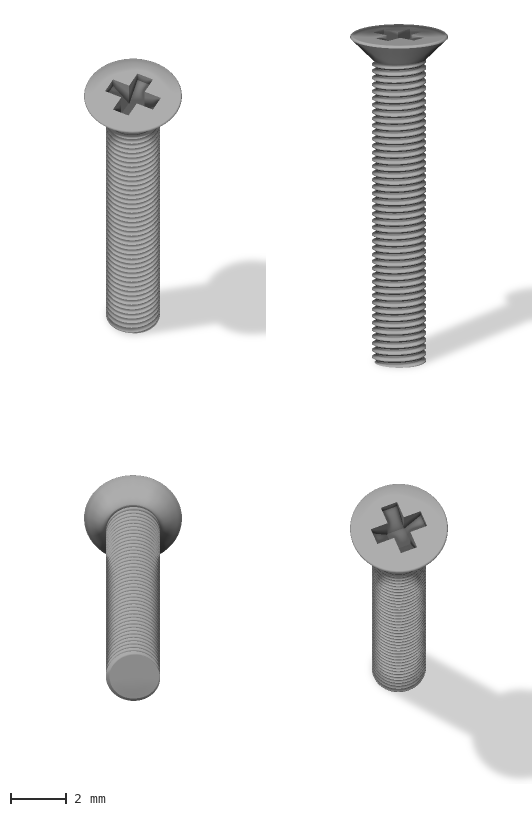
import cadquery as cq
import math

TOTAL_LENGTH = 12.0

HEAD_DIAMETER = 3.5
HEAD_HEIGHT = 0.86
RIM_HEIGHT = 0.08

THREAD_DIAMETER = 1.95
ROOT_DIAMETER = 1.65
PITCH = TOTAL_LENGTH / 48
CREST_FLAT = PITCH / 8
ROOT_FLAT = PITCH / 4
CREST_OFFSET = -0.04
ROOT_OVERLAP = 0.02

RECESS_SPAN = 1.92
SLOT_WIDTH = 0.62
CENTRE_FLOOR = 0.67
END_WALL_DEPTH = 0.35

HEAD_RADIUS = HEAD_DIAMETER / 2
HEAD_BOTTOM = TOTAL_LENGTH - HEAD_HEIGHT
CONE_BOTTOM_RADIUS = HEAD_RADIUS - (HEAD_HEIGHT - RIM_HEIGHT)
CREST_RADIUS = THREAD_DIAMETER / 2
ROOT_RADIUS = ROOT_DIAMETER / 2


def core_and_head():
    """Revolve the head together with the thread core."""
    return (
        cq.Workplane("XZ")
        .moveTo(0, 0)
        .lineTo(ROOT_RADIUS, 0)
        .lineTo(ROOT_RADIUS, HEAD_BOTTOM)
        .lineTo(CONE_BOTTOM_RADIUS, HEAD_BOTTOM)
        .lineTo(HEAD_RADIUS, TOTAL_LENGTH - RIM_HEIGHT)
        .radiusArc((HEAD_RADIUS - RIM_HEIGHT, TOTAL_LENGTH), -RIM_HEIGHT)
        .lineTo(0, TOTAL_LENGTH)
        .close()
        .revolve(360, (0, 0, 0), (0, 1, 0))
    )


def ridge_turn():
    """One turn of the thread ridge, its crest starting at height zero on the +X side."""
    inner_radius = ROOT_RADIUS - ROOT_OVERLAP
    flank_rise = (PITCH - ROOT_FLAT - CREST_FLAT) / 2 / (CREST_RADIUS - ROOT_RADIUS)
    half_crest = CREST_FLAT / 2
    half_base = half_crest + flank_rise * (CREST_RADIUS - inner_radius)
    helix = cq.Workplane(obj=cq.Wire.makeHelix(PITCH, PITCH, ROOT_RADIUS))
    return (
        cq.Workplane("XZ")
        .polyline([
            (inner_radius, -half_base),
            (CREST_RADIUS, -half_crest),
            (CREST_RADIUS, half_crest),
            (inner_radius, half_base),
        ])
        .close()
        .sweep(helix, isFrenet=True)
    )


def add_thread(body):
    """Stack single turns from below the tip into the head, then trim them flush with the tip.

    Each turn begins and ends on the seam of the core, which keeps the joins simple.
    """
    start = CREST_OFFSET - PITCH
    turn_count = math.ceil((HEAD_BOTTOM - start) / PITCH)
    turn = ridge_turn().val()
    turns = [turn.moved(cq.Location(cq.Vector(0, 0, start + i * PITCH))) for i in range(turn_count)]
    threaded = cq.Workplane(obj=body.val().fuse(*turns))
    below_tip = cq.Workplane("XY").circle(THREAD_DIAMETER).extrude(-2 * PITCH)
    return threaded.cut(below_tip)


def recess_slot():
    """One slot of the cross, running along X, with end floors that slope to the centre."""
    half_span = RECESS_SPAN / 2
    half_floor = CENTRE_FLOOR / 2
    wall_bottom = TOTAL_LENGTH - END_WALL_DEPTH
    centre_floor = wall_bottom - (half_span - half_floor)
    return (
        cq.Workplane("XZ")
        .polyline([
            (-half_span, TOTAL_LENGTH),
            (-half_span, wall_bottom),
            (-half_floor, centre_floor),
            (half_floor, centre_floor),
            (half_span, wall_bottom),
            (half_span, TOTAL_LENGTH),
        ])
        .close()
        .extrude(SLOT_WIDTH / 2, both=True)
    )


def cross_recess():
    """Two slots crossing at right angles."""
    slot = recess_slot()
    return slot.union(slot.rotate((0, 0, 0), (0, 0, 1), 90))


blank = core_and_head().cut(cross_recess())
result = add_thread(blank)